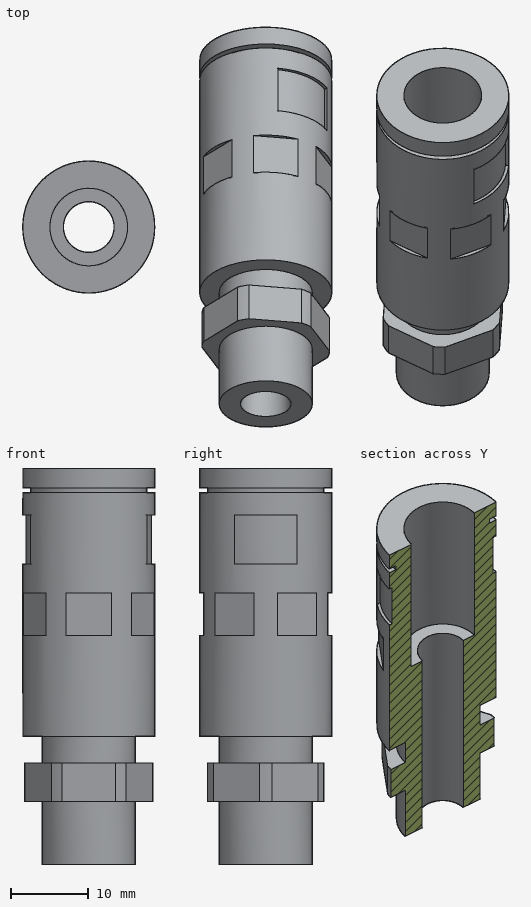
import cadquery as cq
import math

TOTAL_HEIGHT = 51.0
BODY_DIAMETER = 17.02
STEM_DIAMETER = 12.0
BODY_BOTTOM = 16.5

NUT_BOTTOM = 8.1
NUT_HEIGHT = 5.0
NUT_ACROSS_FLATS = 15.0
NUT_CORNER_DIAMETER = 16.5

SPANNER_BOTTOM = 29.5
SPANNER_HEIGHT = 5.5
SPANNER_ACROSS_FLATS = 16.0

POCKET_BOTTOM = 38.7
POCKET_HEIGHT = 6.3
POCKET_WIDTH = 8.1
POCKET_FLOOR_DIAMETER = 16.2

COLLAR_HEIGHT = 2.5
GROOVE_HEIGHT = 0.6
GROOVE_DIAMETER = 15.0

BORE_DIAMETER = 6.5
SOCKET_DIAMETER = 10.0
SOCKET_BOTTOM = SPANNER_BOTTOM

TOOL_SIZE = 2 * BODY_DIAMETER


def cylinder(diameter, bottom, top):
    return cq.Workplane("XY").workplane(offset=bottom).circle(diameter / 2).extrude(top - bottom)


def hexagon(across_flats, bottom, height):
    """Hexagonal prism with two of its flats facing +Y and -Y."""
    across_corners = across_flats / math.cos(math.radians(30))
    return cq.Workplane("XY").workplane(offset=bottom).polygon(6, across_corners).extrude(height)


def make_nut():
    turned = cylinder(NUT_CORNER_DIAMETER, NUT_BOTTOM, NUT_BOTTOM + NUT_HEIGHT)
    return turned.intersect(hexagon(NUT_ACROSS_FLATS, NUT_BOTTOM, NUT_HEIGHT))


def spanner_flats_cutter():
    stock = cylinder(TOOL_SIZE, SPANNER_BOTTOM, SPANNER_BOTTOM + SPANNER_HEIGHT)
    return stock.cut(hexagon(SPANNER_ACROSS_FLATS, SPANNER_BOTTOM, SPANNER_HEIGHT))


def pockets_cutter():
    """Bar along X less the core that forms the pocket floors: cuts both pockets."""
    pocket_top = POCKET_BOTTOM + POCKET_HEIGHT
    bar = (
        cq.Workplane("XY")
        .workplane(offset=POCKET_BOTTOM)
        .rect(TOOL_SIZE, POCKET_WIDTH)
        .extrude(POCKET_HEIGHT)
    )
    return bar.cut(cylinder(POCKET_FLOOR_DIAMETER, POCKET_BOTTOM, pocket_top))


def groove_cutter():
    groove_top = TOTAL_HEIGHT - COLLAR_HEIGHT
    groove_bottom = groove_top - GROOVE_HEIGHT
    stock = cylinder(TOOL_SIZE, groove_bottom, groove_top)
    return stock.cut(cylinder(GROOVE_DIAMETER, groove_bottom, groove_top))


def bore_cutter():
    bore = cylinder(BORE_DIAMETER, 0, TOTAL_HEIGHT)
    return bore.union(cylinder(SOCKET_DIAMETER, SOCKET_BOTTOM, TOTAL_HEIGHT))


stem = cylinder(STEM_DIAMETER, 0, BODY_BOTTOM)
body = cylinder(BODY_DIAMETER, BODY_BOTTOM, TOTAL_HEIGHT)

result = (
    stem.union(body)
    .union(make_nut())
    .cut(spanner_flats_cutter())
    .cut(pockets_cutter())
    .cut(groove_cutter())
    .cut(bore_cutter())
)